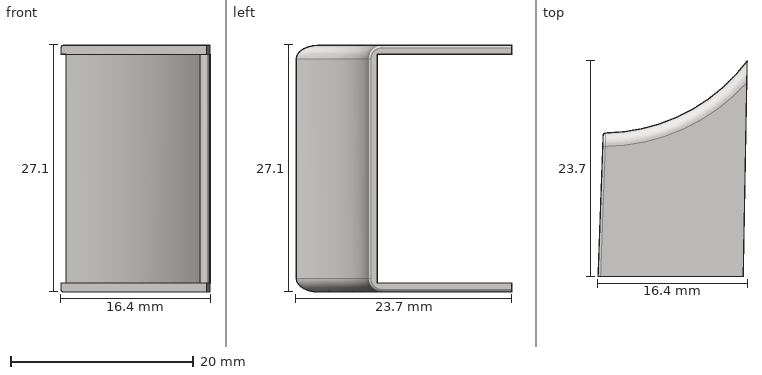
import cadquery as cq
import math

HEIGHT = 27.1
WALL = 1.0
FRONT_WIDTH = 15.97
BACK_WIDTH = 16.4
DEPTH = 23.7

LEFT_DEPTH = 15.78
LEFT_SHIFT = 0.57
FLANGE_FRONT = 15.7

REAR_RADIUS = 1.5
EDGE_RADIUS = 0.3
FLANGE_RADIUS = 0.8

run = BACK_WIDTH - LEFT_SHIFT
rise = DEPTH - LEFT_DEPTH
outer_radius = (run**2 + rise**2) / (2 * rise)
inner_radius = outer_radius + WALL
arc_center_y = LEFT_DEPTH + outer_radius


def right_side_x(y):
    """X of the leaning right side face at depth y."""
    return FRONT_WIDTH + (BACK_WIDTH - FRONT_WIDTH) * y / DEPTH


def arc_y(x, radius):
    """Y of a rear wall arc of the given radius at x."""
    return arc_center_y - math.sqrt(radius**2 - (x - LEFT_SHIFT)**2)


def outer_body():
    """Solid block bounded by the outside faces, with its rounded edges."""
    mid_x = LEFT_SHIFT + run / 2
    body = (
        cq.Workplane("XY")
        .moveTo(0, 0)
        .lineTo(FRONT_WIDTH, 0)
        .lineTo(BACK_WIDTH, DEPTH)
        .threePointArc((mid_x, arc_y(mid_x, outer_radius)), (LEFT_SHIFT, LEFT_DEPTH))
        .close()
        .extrude(HEIGHT)
    )
    rear_edges = body.faces(">Z or <Z").edges("%CIRCLE")
    body = body.newObject(rear_edges.vals()).fillet(REAR_RADIUS)
    left_face = body.faces("<X")
    front_edge = left_face.edges("<Y").val()
    left_edges = [edge for edge in left_face.edges().vals() if not edge.isSame(front_edge)]
    return body.newObject(left_edges).fillet(EDGE_RADIUS)


def inner_space():
    """Through-space between the plates, in front of the wall and beside the flange."""
    margin = 2.7
    flange_x = right_side_x(FLANGE_FRONT) - WALL
    rear_x = right_side_x(arc_y(BACK_WIDTH - WALL, inner_radius)) - WALL
    rear_y = arc_y(rear_x, inner_radius)
    mid_x = (rear_x + LEFT_SHIFT) / 2
    inner_left_y = LEFT_DEPTH - WALL
    space = (
        cq.Workplane("XY", origin=(0, 0, WALL))
        .moveTo(-margin, -margin)
        .lineTo(BACK_WIDTH + margin, -margin)
        .lineTo(BACK_WIDTH + margin, FLANGE_FRONT)
        .lineTo(flange_x, FLANGE_FRONT)
        .lineTo(rear_x, rear_y)
        .threePointArc((mid_x, arc_y(mid_x, inner_radius)), (LEFT_SHIFT, inner_left_y))
        .lineTo(-margin, inner_left_y)
        .close()
        .extrude(HEIGHT - 2 * WALL)
    )
    flange_corner = cq.selectors.NearestToPointSelector((flange_x, FLANGE_FRONT, HEIGHT / 2))
    return space.edges("|Z").edges(flange_corner).fillet(FLANGE_RADIUS)


result = outer_body().cut(inner_space())